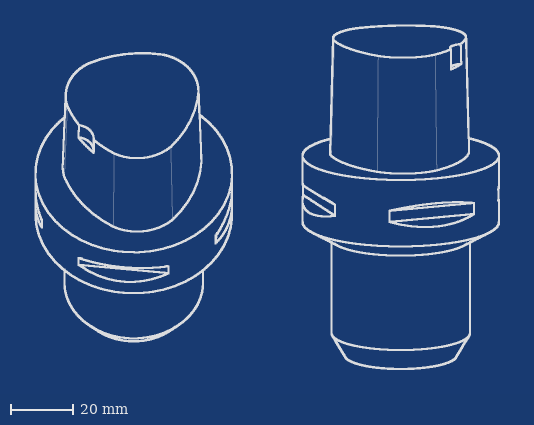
import cadquery as cq
import math

total_height = 104.0
flange_diameter = 63.0
neck_diameter = 44.5
end_diameter = 36.0
end_chamfer_height = 7.4
neck_top = 38.6
flange_bottom = 44.0
flange_top = 65.9

lobe_radius = 23.3
flat_radius = 20.5
joint_radius = 22.3
flat_half_angle = 34.5
lobe_count = 3
lobe_pitch = 360 / lobe_count
first_lobe_angle = 90
taper_per_side = 1 / 40

groove_count = 4
groove_center_z = 53.9
groove_floor_height = 3.6
groove_floor_distance = 28.0
groove_wall_angle = 30

notch_radius = 5.6
notch_back_distance = 17.9
notch_depth = 6.5

CUT_MARGIN = 2.1


def make_body():
    """Neck, flange and chamfered lower end, revolved about Z."""
    profile = [
        (0, 0),
        (end_diameter / 2, 0),
        (neck_diameter / 2, end_chamfer_height),
        (neck_diameter / 2, neck_top),
        (flange_diameter / 2, flange_bottom),
        (flange_diameter / 2, flange_top),
        (0, flange_top),
    ]
    return cq.Workplane("XZ").polyline(profile).close().revolve(360, (0, 0), (0, 1))


def polar_point(radius, angle):
    return (radius * math.cos(math.radians(angle)), radius * math.sin(math.radians(angle)))


def lobed_outline(plane, inset):
    """Closed outline of alternating lobe and flat-side arcs."""
    joint = joint_radius - inset
    lobe_half_angle = lobe_pitch / 2 - flat_half_angle
    outline = plane.moveTo(*polar_point(joint, first_lobe_angle - lobe_half_angle))
    for index in range(lobe_count):
        lobe_angle = first_lobe_angle + index * lobe_pitch
        flat_angle = lobe_angle + lobe_pitch / 2
        outline = outline.threePointArc(
            polar_point(lobe_radius - inset, lobe_angle),
            polar_point(joint, lobe_angle + lobe_half_angle),
        )
        outline = outline.threePointArc(
            polar_point(flat_radius - inset, flat_angle),
            polar_point(joint, flat_angle + flat_half_angle),
        )
    return outline.close()


def make_shank():
    """Lobed shank narrowing towards the top."""
    height = total_height - flange_top
    base = lobed_outline(cq.Workplane("XY").workplane(offset=flange_top), 0)
    top_plane = base.workplane(offset=height)
    return lobed_outline(top_plane, height * taper_per_side).loft(ruled=True)


def make_groove():
    """Trapezoidal groove cutter on the +X side, running along Y."""
    outer_distance = flange_diameter / 2 + CUT_MARGIN
    floor_half = groove_floor_height / 2
    wall_rise = (outer_distance - groove_floor_distance) * math.tan(math.radians(groove_wall_angle))
    outer_half = floor_half + wall_rise
    section = [
        (groove_floor_distance, groove_center_z - floor_half),
        (outer_distance, groove_center_z - outer_half),
        (outer_distance, groove_center_z + outer_half),
        (groove_floor_distance, groove_center_z + floor_half),
    ]
    return cq.Workplane("XZ").polyline(section).close().extrude(flange_diameter / 2, both=True)


def make_notch():
    """Vertical cylinder cutter whose back just enters the front flat side."""
    return (
        cq.Workplane("XY")
        .workplane(offset=total_height - notch_depth)
        .center(0, -(notch_back_distance + notch_radius))
        .circle(notch_radius)
        .extrude(notch_depth + CUT_MARGIN)
    )


result = make_body().union(make_shank()).cut(make_notch())
groove_pitch = 360 / groove_count
for index in range(groove_count):
    groove_angle = (index + 0.5) * groove_pitch
    result = result.cut(make_groove().rotate((0, 0, 0), (0, 0, 1), groove_angle))